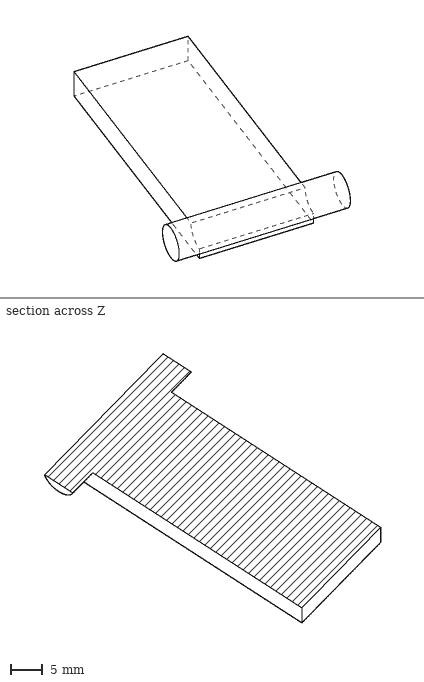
import cadquery as cq

overall_length = 47.9
plate_width = 20.0
plate_thickness = 5.0
rod_radius = 3.0
rod_length = 30.0

plate_length = overall_length - rod_radius


def make_plate():
    """Flat plate starting at X = 0, resting on Z = 0 and centred on Y."""
    return cq.Workplane("XY").box(
        plate_length, plate_width, plate_thickness, centered=(False, True, False)
    )


def make_rod():
    """Round rod along Y, centred on the plate's width and overhanging both sides."""
    return (
        cq.Workplane("XZ")
        .center(plate_length, plate_thickness)
        .circle(rod_radius)
        .extrude(rod_length / 2, both=True)
    )


result = make_plate().union(make_rod())